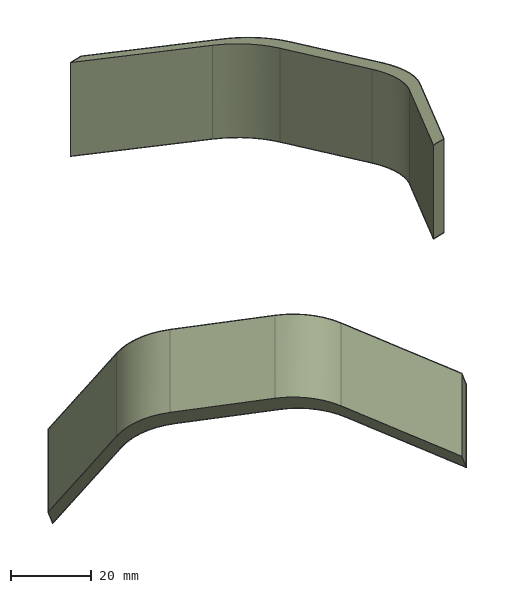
import cadquery as cq

span = 105.0
depth = 40.0
height = 25.0
thickness = 5.0
flat_width = 45.0
bend_radius = 20.0

half_span = span / 2
half_flat = flat_width / 2
leg_drop = depth - thickness


def bracket_outline():
    """Closed sharp-cornered profile: a flat middle with two splayed legs."""
    return (
        cq.Workplane("XY")
        .moveTo(-half_span, -leg_drop)
        .lineTo(-half_flat, 0)
        .lineTo(half_flat, 0)
        .lineTo(half_span, -leg_drop)
        .lineTo(half_span, -leg_drop - thickness)
        .lineTo(half_flat, -thickness)
        .lineTo(-half_flat, -thickness)
        .lineTo(-half_span, -leg_drop - thickness)
        .close()
    )


def round_bends(body):
    """Round the outer and inner corner of both bends, leaving the leg ends square."""
    bend_edges = body.edges("|Z").edges("not(<X or >X)")
    return bend_edges.fillet(bend_radius)


result = round_bends(bracket_outline().extrude(height))